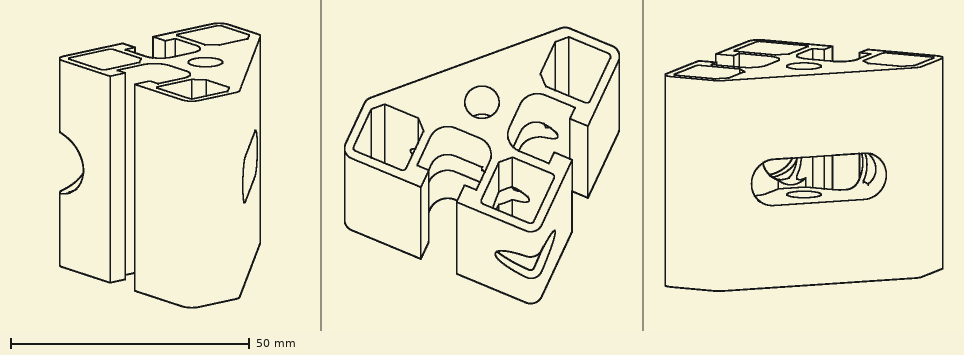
import cadquery as cq
import math

SIZE = 45.0
MIDDLE = SIZE / 2
OUTER_RADIUS = 2.5
BEVEL_START = 13.3
BEVEL_SUM = SIZE + BEVEL_START

WALL = 1.85
CHAMBER = 12.0
CHAMBER_RADIUS = 0.8
CHAMBER_CHAMFER = 2.15

SLOT_WIDTH = 13.6
SLOT_DEPTH = 15.0
SLOT_RADIUS = 4.0
MOUTH_WIDTH = 8.2
LIP = 4.15

CORE_HOLE = 7.2
ACCESS_BORE = 13.5
ACCESS_END_SUM = 15.75
SCREW_HOLE = 8.5
RECESS_LENGTH = 30.0
RECESS_HEIGHT = 9.85
RECESS_FLOOR_SUM = 34.2


def mirror_across_diagonal(solid):
    """Swap X and Y of a solid that is symmetric about mid-height."""
    return solid.rotate((0, 0, MIDDLE), (0.45, 0.45, MIDDLE), 180)


def body():
    outline = [(0, 0), (SIZE, 0), (SIZE, BEVEL_START), (BEVEL_START, SIZE), (0, SIZE)]
    return cq.Workplane("XY").polyline(outline).close().extrude(SIZE).edges("|Z").fillet(OUTER_RADIUS)


def chamber(x, chamfered, rounded):
    """Square chamber along the bottom side, with the selected edges chamfered or rounded."""
    block = cq.Workplane("XY").box(CHAMBER, CHAMBER, SIZE, centered=False)
    block = block.edges(chamfered).chamfer(CHAMBER_CHAMFER)
    return block.edges(rounded).fillet(CHAMBER_RADIUS).translate((x, WALL, 0))


def t_slot():
    """T-slot opening through the -Y side."""
    cavity = (
        cq.Workplane("XY")
        .box(SLOT_WIDTH, SLOT_DEPTH - LIP, SIZE, centered=(True, False, False))
        .edges("|Z and >Y")
        .fillet(SLOT_RADIUS)
        .translate((MIDDLE, LIP, 0))
    )
    mouth = cq.Workplane("XY").box(MOUTH_WIDTH, LIP, SIZE, centered=(True, False, False))
    return cavity.union(mouth.translate((MIDDLE, 0, 0)))


def diagonal_plane(coordinate_sum):
    """Mid-height plane where x + y is constant, facing the slanted side; its local X is horizontal."""
    half = coordinate_sum / 2
    return cq.Workplane(cq.Plane((half, half, MIDDLE), xDir=(-1, 1, 0), normal=(1, 1, 0)))


def diagonal_length(start_sum, end_sum):
    return (end_sum - start_sum) / math.sqrt(2)


def access_bore():
    """Wide bore through the square corner into the corner chamber."""
    return diagonal_plane(0).circle(ACCESS_BORE / 2).extrude(diagonal_length(0, ACCESS_END_SUM))


def screw_hole():
    """Hole from the corner chamber to the recess floor."""
    length = diagonal_length(ACCESS_END_SUM, RECESS_FLOOR_SUM)
    return diagonal_plane(ACCESS_END_SUM).circle(SCREW_HOLE / 2).extrude(length)


def recess():
    """Round-ended recess sunk into the slanted face."""
    depth = diagonal_length(RECESS_FLOOR_SUM, BEVEL_SUM)
    return diagonal_plane(RECESS_FLOOR_SUM).slot2D(RECESS_LENGTH, RECESS_HEIGHT).extrude(depth)


def core_hole():
    return cq.Workplane("XY").center(MIDDLE, MIDDLE).circle(CORE_HOLE / 2).extrude(SIZE)


corner_chamber = chamber(WALL, "|Z and >X and >Y", "(|Z and <X) or (|Z and <Y and >X)")
side_chamber = chamber(SIZE - WALL - CHAMBER, "|Z and >Y", "|Z and <Y")
slot = t_slot()

result = body().cut(corner_chamber)
for cutter in (side_chamber, slot):
    result = result.cut(cutter).cut(mirror_across_diagonal(cutter))
for cutter in (core_hole(), access_bore(), screw_hole(), recess()):
    result = result.cut(cutter)